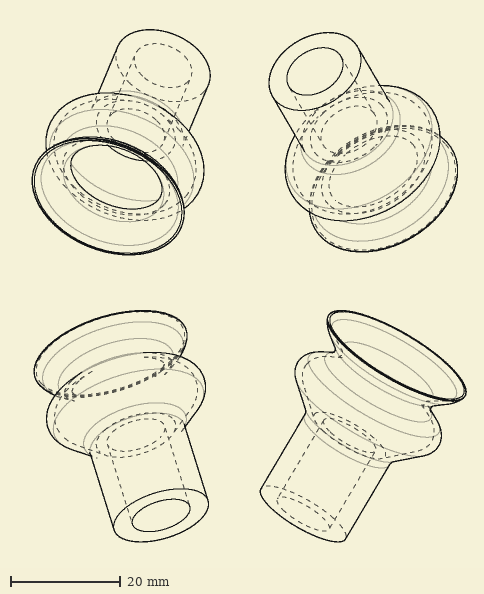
import cadquery as cq
import math

length = 35.2
tube_radius = 9.0
bore_radius = 5.5

shoulder_angle = 45.0
flank_angle = 59.0
skirt_angle = 49.0

throat_bend = 2.5
throat_height = 18.75
bulge_radius = 15.0
bulge_bend = 2.5
bulge_height = 10.8
neck_radius = 10.25
neck_bend = 2.0
neck_height = 5.3

bulge_wall = 1.55
inner_neck_radius = 8.8
inner_neck_bend = 2.25
inner_neck_height = neck_height
ledge_radius = 7.55

lip_radius = 14.5
lip_edge_height = 0.18
lip_inner_radius = 14.08
lip_curve_radius = 13.35
lip_curve_height = 1.72
inner_curve_radius = 13.1
inner_curve_height = 1.05
lip_bow = 0.05

throat_center = (tube_radius + throat_bend, throat_height)
bulge_center = (bulge_radius - bulge_bend, bulge_height)
inner_bulge_center = (bulge_center[0] - bulge_wall, bulge_height)
neck_center = (neck_radius + neck_bend, neck_height)
inner_neck_center = (inner_neck_radius + inner_neck_bend, inner_neck_height)


def on_bend(center, bend, angle):
    """Point on a bend, with the angle in degrees from the outward radial direction."""
    turn = math.radians(angle)
    return (center[0] + bend * math.cos(turn), center[1] + bend * math.sin(turn))


def add_bend(profile, center, bend, start, end):
    """Run a straight wall to the start of a bend, then follow the bend to its end."""
    middle = on_bend(center, bend, (start + end) / 2)
    return profile.lineTo(*on_bend(center, bend, start)).threePointArc(middle, on_bend(center, bend, end))


cavity_top = on_bend(inner_bulge_center, bulge_bend, shoulder_angle)
ledge_height = cavity_top[1] + (cavity_top[0] - ledge_radius) / math.tan(math.radians(shoulder_angle))

profile = cq.Workplane("XY").moveTo(bore_radius, length).lineTo(tube_radius, length)
profile = add_bend(profile, throat_center, throat_bend, 180, 180 + shoulder_angle)
profile = add_bend(profile, bulge_center, bulge_bend, shoulder_angle, -flank_angle)
profile = add_bend(profile, neck_center, neck_bend, 180 - flank_angle, 180 + skirt_angle)
profile = profile.lineTo(lip_curve_radius, lip_curve_height)
profile = profile.tangentArcPoint((lip_radius, lip_edge_height), relative=False)

lip_middle = (
    (lip_inner_radius + inner_curve_radius) / 2 + lip_bow,
    inner_curve_height / 2 + lip_bow,
)
profile = profile.lineTo(lip_radius, 0).lineTo(lip_inner_radius, 0)
profile = profile.threePointArc(lip_middle, (inner_curve_radius, inner_curve_height))
profile = add_bend(profile, inner_neck_center, inner_neck_bend, 180 + skirt_angle, 180 - flank_angle)
profile = add_bend(profile, inner_bulge_center, bulge_bend, -flank_angle, shoulder_angle)
profile = profile.lineTo(ledge_radius, ledge_height).lineTo(bore_radius, ledge_height).close()

result = profile.revolve(360, (0, 0, 0), (0, 1, 0))